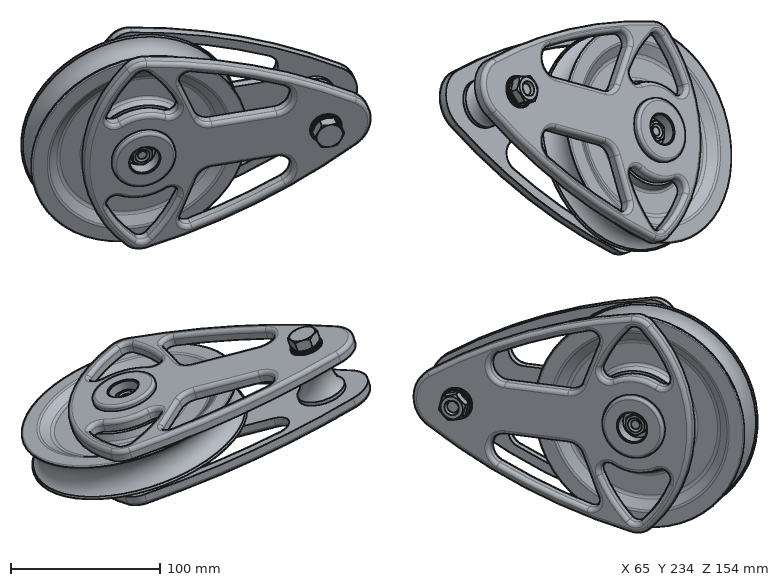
import cadquery as cq
import math


PLATE_INNER = 14.3
PLATE_OUTER = 22.5
EDGE_FILLET = 3.0
LONG_WINDOW_RAIL = 7.0
HUB_WINDOW_RAIL = 8.0
HALF_HEIGHT = 77.0
CORNER_RADIUS = 15.0
TIP_RADIUS = 22.7
SIDE_RADIUS = 402.4
FRONT_Y = -40.2
LENGTH = 234.0

WINDOW_FLOOR = 18.2
SPOKE_FOOT_Y = 40.2
SPOKE_HEAD_Y = 21.8
LONG_WINDOW_RADIUS = 11.0
WINDOW_RADIUS = 6.0
HUB_WINDOW_RADIUS = 34.2

BOSS_DIAMETER = 44.0
BOSS_FACE = 26.7
BOSS_FILLET = 2.0
BOSS_BORE = 20.5
BOSS_BORE_DEPTH = 10.0
BOSS_BORE_CHAMFER = 0.7
AXLE_DIAMETER = 33.7
AXLE_NUT_CORNERS = 15.5
AXLE_NUT_HEIGHT = 4.7
AXLE_NUT_ANGLE = 90.0
AXLE_NUT_CHAMFER = 14.0
AXLE_NUT_HOLE = 10.0
AXLE_TIP = 6.3
AXLE_NUT_HOLE_DEPTH = 1.0

BOLT_Y = 126.8
SPACER_DIAMETER = 33.0
SPACER_WAIST = 23.6
GROOVE_HALF_WIDTH = 11.58
WASHER_DIAMETER = 22.0
WASHER_FACE = 23.5
COLLAR_DIAMETER = 20.0
COLLAR_FACE = 24.5
BOLT_END = 32.5
NUT_CORNERS = 20.0
NUT_ANGLE = -15.0
NUT_CHAMFER = 16.0
NUT_HOLE = 10.3
BOLT_TIP = 8.2
NUT_HOLE_DEPTH = 2.3
HEAD_FLATS = 18.0
HEAD_CHAMFER = 18.0
HEX_CHAMFER_ANGLE = 30.0

SHEAVE_RADIUS = 75.0
SHEAVE_HALF_WIDTH = 13.5
GROOVE_BOTTOM_RADIUS = 66.0
RECESS_TOP_RADIUS = 63.5
RECESS_FLOOR_RADIUS = 55.2
RECESS_DEPTH = 5.8
RECESS_TOP_FILLET = 3.0
RECESS_FLOOR_FILLET = 4.5
HUB_TOP_RADIUS = 35.8
HUB_BASE_RADIUS = 38.4
HUB_BASE_FILLET = 2.3

BORE_FLOOR = BOSS_FACE - BOSS_BORE_DEPTH

TIP_Y = LENGTH - SHEAVE_RADIUS
TIP_CENTRE = (TIP_Y - TIP_RADIUS, 0.0)
CORNER_CENTRE = (0.0, HALF_HEIGHT - CORNER_RADIUS)
FRONT_REACH = -FRONT_Y - CORNER_RADIUS
FRONT_CENTRE = ((CORNER_CENTRE[1] ** 2 - FRONT_REACH**2) / (2 * FRONT_REACH), 0.0)
FRONT_RADIUS = FRONT_CENTRE[0] - FRONT_Y


def tangent_centre(radius, centre_a, radius_a, centre_b, radius_b):
    """Centre, on the low-Z side, of a large circle that encloses and touches circles a and b."""
    span = math.dist(centre_a, centre_b)
    reach_a = radius - radius_a
    reach_b = radius - radius_b
    along = (reach_a**2 - reach_b**2 + span**2) / (2 * span)
    across = math.sqrt(reach_a**2 - along**2)
    uy = (centre_b[0] - centre_a[0]) / span
    uz = (centre_b[1] - centre_a[1]) / span
    low = -across if uy > 0 else across
    return (centre_a[0] + along * uy - low * uz, centre_a[1] + along * uz + low * uy)


SIDE_CENTRE = tangent_centre(SIDE_RADIUS, CORNER_CENTRE, CORNER_RADIUS, TIP_CENTRE, TIP_RADIUS)


def on_circle(centre, radius, towards):
    """Point of a circle in the direction from its centre to another point."""
    angle = math.atan2(towards[1] - centre[1], towards[0] - centre[0])
    return (centre[0] + radius * math.cos(angle), centre[1] + radius * math.sin(angle))


def side_z(y, radius):
    return SIDE_CENTRE[1] + math.sqrt(radius**2 - (y - SIDE_CENTRE[0]) ** 2)


def side_y(z, radius):
    return SIDE_CENTRE[0] + math.sqrt(radius**2 - (z - SIDE_CENTRE[1]) ** 2)


def flip(point):
    return (point[0], -point[1])


def cheek_outline(start):
    """Closed outline made of tangent arcs, extruded to the plate thickness."""
    tip_end = on_circle(SIDE_CENTRE, SIDE_RADIUS, TIP_CENTRE)
    corner_start = on_circle(SIDE_CENTRE, SIDE_RADIUS, CORNER_CENTRE)
    side_y_mid = (tip_end[0] + corner_start[0]) / 2
    side_mid = (side_y_mid, side_z(side_y_mid, SIDE_RADIUS))
    corner_top = (CORNER_CENTRE[0], HALF_HEIGHT)
    corner_end = on_circle(FRONT_CENTRE, FRONT_RADIUS, CORNER_CENTRE)
    return (
        cq.Workplane("YZ", origin=(start, 0, 0))
        .moveTo(*flip(tip_end))
        .threePointArc((TIP_Y, 0), tip_end)
        .threePointArc(side_mid, corner_start)
        .threePointArc(corner_top, corner_end)
        .threePointArc((FRONT_Y, 0), flip(corner_end))
        .threePointArc(flip(corner_top), flip(corner_start))
        .threePointArc(flip(side_mid), flip(tip_end))
        .close()
        .extrude(PLATE_OUTER - start)
    )


def long_window():
    """Window between the tip and the spoke, above the central web."""
    radius = SIDE_RADIUS - LONG_WINDOW_RAIL
    back = (side_y(WINDOW_FLOOR, radius), WINDOW_FLOOR)
    head = (SPOKE_HEAD_Y, side_z(SPOKE_HEAD_Y, radius))
    foot = (SPOKE_FOOT_Y, WINDOW_FLOOR)
    mid_y = (back[0] + head[0]) / 2
    window = (
        cq.Workplane("YZ", origin=(PLATE_INNER, 0, 0))
        .moveTo(*foot)
        .lineTo(*back)
        .threePointArc((mid_y, side_z(mid_y, radius)), head)
        .close()
        .extrude(PLATE_OUTER - PLATE_INNER)
    )
    head_edge = cq.selectors.NearestToPointSelector((PLATE_OUTER, *head))
    return window.edges("|X").edges("<Z").fillet(LONG_WINDOW_RADIUS).edges("|X").edges(head_edge).fillet(
        WINDOW_RADIUS
    )


def hub_window():
    """Three-sided window above the axle: two arcs mirrored about Y = 0 and a concentric floor."""
    depth = PLATE_OUTER - PLATE_INNER
    plane = cq.Workplane("YZ", origin=(PLATE_INNER, 0, 0))
    radius = FRONT_RADIUS - HUB_WINDOW_RAIL
    lens = plane.center(FRONT_CENTRE[0], 0).circle(radius).extrude(depth)
    lens = lens.intersect(lens.mirror("XZ"))
    above = plane.center(0, HALF_HEIGHT).rect(2 * HALF_HEIGHT, 2 * HALF_HEIGHT).extrude(depth)
    floor = plane.center(0, 0).circle(HUB_WINDOW_RADIUS).extrude(depth)
    return lens.intersect(above).cut(floor).edges("|X").fillet(WINDOW_RADIUS)


def cheek():
    plate = cheek_outline(PLATE_INNER)
    for window in (long_window(), hub_window()):
        plate = plate.cut(window).cut(window.mirror("XY"))
    return plate.faces(">X").edges().fillet(EDGE_FILLET)


def disc(diameter, start, end, y=0.0):
    return cq.Workplane("YZ", origin=(start, y, 0)).circle(diameter / 2).extrude(end - start)


def hexagon(corners, chamfer_diameter, start, end, angle, y=0.0):
    """Hexagonal prism whose corners are cut by a cone at both ends."""
    prism = (
        cq.Workplane("YZ", origin=(start, y, 0))
        .transformed(rotate=(0, 0, angle))
        .polygon(6, corners)
        .extrude(end - start)
    )
    drop = (corners - chamfer_diameter) / 2 * math.tan(math.radians(HEX_CHAMFER_ANGLE))
    envelope = (
        cq.Workplane("XY")
        .moveTo(start, 0)
        .lineTo(start, chamfer_diameter / 2)
        .lineTo(start + drop, corners / 2)
        .lineTo(end - drop, corners / 2)
        .lineTo(end, chamfer_diameter / 2)
        .lineTo(end, 0)
        .close()
        .revolve(360, (0, 0), (1, 0))
        .translate((0, y, 0))
    )
    return prism.intersect(envelope)


def countersink(mouth_diameter, tip_diameter, face, depth, y=0.0):
    """Tapered recess that narrows from a face facing +X down to the given depth."""
    return (
        cq.Workplane("YZ", origin=(face, y, 0))
        .circle(mouth_diameter / 2)
        .workplane(offset=-depth)
        .circle(tip_diameter / 2)
        .loft()
    )


def boss():
    """Round boss on the +X cheek."""
    return disc(BOSS_DIAMETER, PLATE_INNER, BOSS_FACE).faces(">X").edges().fillet(BOSS_FILLET)


def boss_bore():
    mouth = BOSS_BORE + 2 * BOSS_BORE_CHAMFER
    bore = disc(BOSS_BORE, BORE_FLOOR, BOSS_FACE)
    return bore.union(countersink(mouth, BOSS_BORE, BOSS_FACE, BOSS_BORE_CHAMFER))


def axle_nut():
    """Nut at the bottom of the +X boss bore; its countersink ends at the axle tip."""
    nut_face = BORE_FLOOR + AXLE_NUT_HEIGHT
    nut = hexagon(AXLE_NUT_CORNERS, AXLE_NUT_CHAMFER, BORE_FLOOR, nut_face, AXLE_NUT_ANGLE)
    return nut.cut(countersink(AXLE_NUT_HOLE, AXLE_TIP, nut_face, AXLE_NUT_HOLE_DEPTH))


def spacer():
    """Waisted roller between the cheeks, around the bolt axis."""
    flange = SPACER_DIAMETER / 2
    return (
        cq.Workplane("XY")
        .moveTo(-PLATE_INNER, 0)
        .lineTo(-PLATE_INNER, flange)
        .lineTo(-GROOVE_HALF_WIDTH, flange)
        .threePointArc((0, SPACER_WAIST / 2), (GROOVE_HALF_WIDTH, flange))
        .lineTo(PLATE_INNER, flange)
        .lineTo(PLATE_INNER, 0)
        .close()
        .revolve(360, (0, 0), (1, 0))
        .translate((0, BOLT_Y, 0))
    )


def bolt_head():
    """Plain hexagon on the +X side."""
    corners = HEAD_FLATS / math.cos(math.pi / 6)
    return hexagon(corners, HEAD_CHAMFER, COLLAR_FACE, BOLT_END, 0, BOLT_Y)


def bolt_nut():
    """Nut for the -X side, modelled on the +X side; its countersunk hole ends at the bolt tip."""
    nut = hexagon(NUT_CORNERS, NUT_CHAMFER, COLLAR_FACE, BOLT_END, NUT_ANGLE, BOLT_Y)
    hole = countersink(NUT_HOLE, BOLT_TIP, BOLT_END, NUT_HOLE_DEPTH, BOLT_Y)
    return nut.cut(hole)


def make_frame():
    """Cheeks, bosses, axle, spacer and bolt as one body."""
    washer = disc(WASHER_DIAMETER, PLATE_OUTER, WASHER_FACE, BOLT_Y)
    collar = disc(COLLAR_DIAMETER, WASHER_FACE, COLLAR_FACE, BOLT_Y)
    half = cheek().union(boss()).cut(boss_bore()).union(axle_nut()).union(washer).union(collar)
    axle = disc(AXLE_DIAMETER, -PLATE_INNER, PLATE_INNER)
    return (
        half.union(half.mirror("YZ"))
        .union(axle)
        .union(spacer())
        .union(bolt_head())
        .union(bolt_nut().mirror("YZ"))
    )


def sheave_blank():
    """Grooved wheel, bored for the axle."""
    bore = AXLE_DIAMETER / 2
    rounding = (SHEAVE_HALF_WIDTH - GROOVE_HALF_WIDTH) / 2
    crest = SHEAVE_HALF_WIDTH - rounding
    shoulder = SHEAVE_RADIUS - rounding
    return (
        cq.Workplane("XY")
        .moveTo(-SHEAVE_HALF_WIDTH, bore)
        .lineTo(-SHEAVE_HALF_WIDTH, shoulder)
        .threePointArc((-crest, SHEAVE_RADIUS), (-GROOVE_HALF_WIDTH, shoulder))
        .threePointArc((0, GROOVE_BOTTOM_RADIUS), (GROOVE_HALF_WIDTH, shoulder))
        .threePointArc((crest, SHEAVE_RADIUS), (SHEAVE_HALF_WIDTH, shoulder))
        .lineTo(SHEAVE_HALF_WIDTH, bore)
        .close()
        .revolve(360, (0, 0), (1, 0))
    )


def side_recess():
    """Ring-shaped recess around the hub on the +X side, with rounded edges at its floor."""
    floor = SHEAVE_HALF_WIDTH - RECESS_DEPTH
    ring = (
        cq.Workplane("XY")
        .moveTo(floor, HUB_BASE_RADIUS)
        .lineTo(SHEAVE_HALF_WIDTH, HUB_TOP_RADIUS)
        .lineTo(SHEAVE_HALF_WIDTH, RECESS_TOP_RADIUS)
        .lineTo(floor, RECESS_FLOOR_RADIUS)
        .close()
        .revolve(360, (0, 0), (1, 0))
    )
    hub_edge = cq.selectors.RadiusNthSelector(0)
    wall_edge = cq.selectors.RadiusNthSelector(1)
    ring = ring.faces("<X").edges(hub_edge).fillet(HUB_BASE_FILLET)
    return ring.faces("<X").edges(wall_edge).fillet(RECESS_FLOOR_FILLET)


def make_sheave():
    recess = side_recess()
    wheel = sheave_blank().cut(recess).cut(recess.mirror("YZ"))
    rim_edges = wheel.faces("<X or >X").edges("%CIRCLE")
    rim_edges = rim_edges.filter(lambda edge: math.isclose(edge.radius(), RECESS_TOP_RADIUS))
    return rim_edges.fillet(RECESS_TOP_FILLET)


frame = make_frame()
sheave = make_sheave()

result = cq.Compound.makeCompound([frame.val(), sheave.val()])